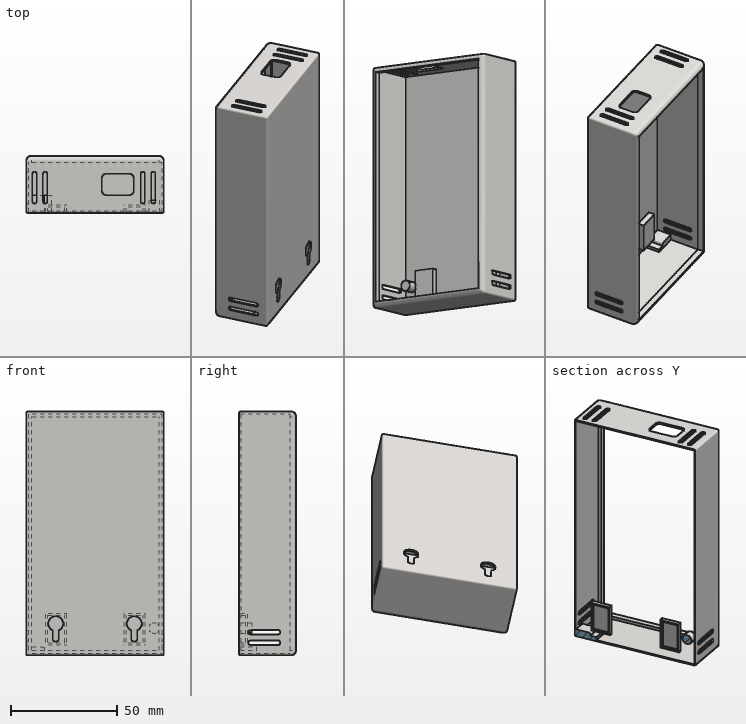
import cadquery as cq

WIDTH = 65.0
DEPTH = 27.0
HEIGHT = 115.0
WALL = 1.0

LIP_WIDTH = 1.5
LIP_DEPTH = 3.0

SMALL_RADIUS = 1.0
BACK_RADIUS = 2.5

VENT_LENGTH = 15.0
VENT_WIDTH = 2.0
VENT_Y = -1.5
TOP_VENT_X = (-28.5, -23.5, 22.5, 27.5)
SIDE_VENT_Z = (6.0, 11.0)

OPENING_WIDTH = 15.0
OPENING_DEPTH = 10.0
OPENING_RADIUS = 2.0
OPENING_X = 10.75

KEYHOLE_X = 18.5
KEYHOLE_Z = 15.0
KEYHOLE_DIAMETER = 7.0
KEYHOLE_SLOT_WIDTH = 3.0
KEYHOLE_SLOT_DROP = 7.0
KEYHOLE_DEPTH = 3.0
KEYHOLE_CLEARANCE = 0.5
COVER_THICKNESS = 1.0

POST_DIAMETER = 5.0
POST_X = 27.8
POST_Z = 13.0
POST_TOP_Y = -7.4
LEDGE_WIDTH = 11.0
LEDGE_TOP_Y = -5.2
LEDGE_HEIGHT = 1.5
LEDGE_STEP_WIDTH = 7.7
LEDGE_STEP_HEIGHT = 3.0
LEDGE_STEP_RADIUS = 1.0

FRONT_Y = -DEPTH / 2
BACK_Y = DEPTH / 2
FRONT_INSIDE_Y = FRONT_Y + WALL
LEFT_INSIDE_X = -WIDTH / 2 + WALL


def box_between(x_range, y_range, z_range):
    """Axis-aligned box given by its limits along each axis."""
    size = [high - low for low, high in (x_range, y_range, z_range)]
    corner = (x_range[0], y_range[0], z_range[0])
    return cq.Workplane("XY").box(*size, centered=False).translate(corner)


def cylinder_along_y(diameter, x, z, y_start, y_end):
    """Round bar parallel to Y."""
    start = cq.Vector(x, y_start, z)
    bar = cq.Solid.makeCylinder(diameter / 2, y_end - y_start, start, cq.Vector(0, 1, 0))
    return cq.Workplane(obj=bar)


def make_shell():
    """Rounded box, hollow and open towards +Y."""
    half_width = WIDTH / 2
    block = box_between((-half_width, half_width), (FRONT_Y, BACK_Y), (0, HEIGHT))
    block = block.edges("|Y").fillet(SMALL_RADIUS)
    block = block.faces("<Y").edges().fillet(SMALL_RADIUS)
    block = block.faces(">Y").edges().fillet(BACK_RADIUS)
    lip_y = BACK_Y - LIP_DEPTH
    inside_x = half_width - WALL
    cavity = box_between((-inside_x, inside_x), (FRONT_INSIDE_Y, lip_y), (WALL, HEIGHT - WALL))
    rim = WALL + LIP_WIDTH
    mouth_x = half_width - rim
    mouth = box_between((-mouth_x, mouth_x), (lip_y, BACK_Y), (rim, HEIGHT - rim))
    return block.cut(cavity).cut(mouth)


def add_post(body):
    post = cylinder_along_y(POST_DIAMETER, POST_X, POST_Z, FRONT_INSIDE_Y, POST_TOP_Y)
    return body.union(post)


def add_ledge(body):
    """Low stepped ledge in the bottom left corner, standing on the bottom wall."""
    y_range = (FRONT_INSIDE_Y, LEDGE_TOP_Y)
    ledge_end_x = LEFT_INSIDE_X + LEDGE_WIDTH
    step_end_x = LEFT_INSIDE_X + LEDGE_STEP_WIDTH
    ledge = box_between((LEFT_INSIDE_X, ledge_end_x), y_range, (WALL, WALL + LEDGE_HEIGHT))
    step = box_between((LEFT_INSIDE_X, step_end_x), y_range, (WALL, WALL + LEDGE_STEP_HEIGHT))
    step = step.faces(">X").edges(">Z").fillet(LEDGE_STEP_RADIUS)
    return body.union(ledge).union(step)


def add_keyhole(body, x):
    """Keyhole cut through the front wall into a closed box on its inner side."""
    radius = KEYHOLE_DIAMETER / 2
    slot_end_z = KEYHOLE_Z - KEYHOLE_SLOT_DROP
    half_width = radius + KEYHOLE_CLEARANCE
    low_z = slot_end_z - KEYHOLE_SLOT_WIDTH / 2 - KEYHOLE_CLEARANCE
    high_z = KEYHOLE_Z + half_width
    floor_y = FRONT_Y + KEYHOLE_DEPTH

    cover = box_between(
        (x - half_width - COVER_THICKNESS, x + half_width + COVER_THICKNESS),
        (FRONT_INSIDE_Y, floor_y + COVER_THICKNESS),
        (low_z - COVER_THICKNESS, high_z + COVER_THICKNESS),
    )
    pocket = box_between((x - half_width, x + half_width), (FRONT_INSIDE_Y, floor_y), (low_z, high_z))
    head = cylinder_along_y(KEYHOLE_DIAMETER, x, KEYHOLE_Z, FRONT_Y, FRONT_INSIDE_Y)
    slot_end = cylinder_along_y(KEYHOLE_SLOT_WIDTH, x, slot_end_z, FRONT_Y, FRONT_INSIDE_Y)
    slot = box_between(
        (x - KEYHOLE_SLOT_WIDTH / 2, x + KEYHOLE_SLOT_WIDTH / 2),
        (FRONT_Y, FRONT_INSIDE_Y),
        (slot_end_z, KEYHOLE_Z),
    )
    return body.union(cover).cut(pocket).cut(head).cut(slot_end).cut(slot)


def cut_top_openings(body):
    """Four vents and the cable opening through the top wall."""
    top_inside = cq.Workplane("XY").workplane(offset=HEIGHT - WALL)
    vents = (
        top_inside.pushPoints([(x, VENT_Y) for x in TOP_VENT_X])
        .slot2D(VENT_LENGTH, VENT_WIDTH, 90)
        .extrude(WALL)
    )
    opening = (
        top_inside.center(OPENING_X, 0)
        .rect(OPENING_WIDTH, OPENING_DEPTH)
        .extrude(WALL)
        .edges("|Z")
        .fillet(OPENING_RADIUS)
    )
    return body.cut(vents).cut(opening)


def cut_side_vents(body):
    """Two vents through each of the side walls."""
    for wall_x in (-WIDTH / 2, WIDTH / 2 - WALL):
        vents = (
            cq.Workplane("YZ", origin=(wall_x, 0, 0))
            .pushPoints([(VENT_Y, z) for z in SIDE_VENT_Z])
            .slot2D(VENT_LENGTH, VENT_WIDTH)
            .extrude(WALL)
        )
        body = body.cut(vents)
    return body


result = make_shell()
result = add_post(result)
result = add_ledge(result)
for keyhole_x in (-KEYHOLE_X, KEYHOLE_X):
    result = add_keyhole(result, keyhole_x)
result = cut_top_openings(result)
result = cut_side_vents(result)